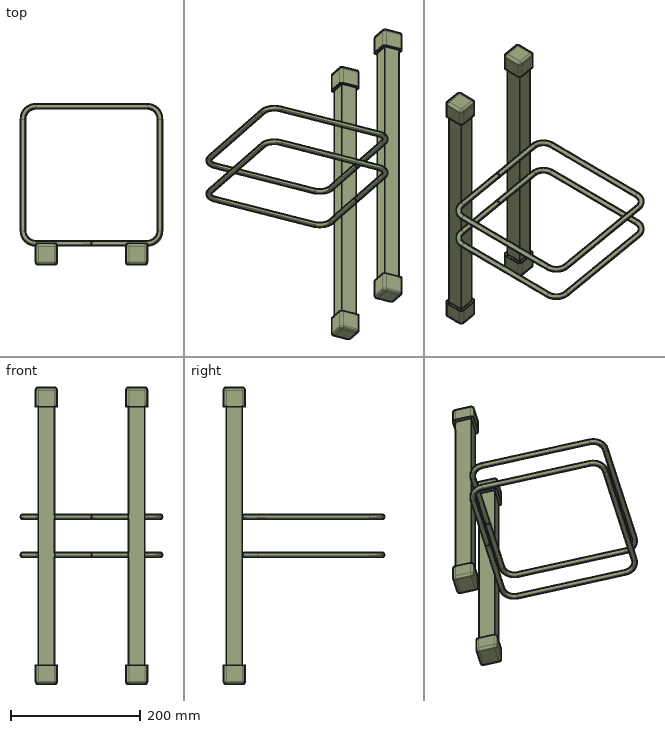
import cadquery as cq
import math


total_height = 460.0
ring_width = 220.0

rod_diameter = 8.0
rod_radius = rod_diameter / 2
ring_bend_radius = 20.0
joint_gap = 0.5
ring_pitch = 59.0
ring_half = (ring_width - rod_diameter) / 2
ring_levels = (-ring_pitch / 2, ring_pitch / 2)

post_side = 25.5
post_pitch = 140.0
post_positions = (-post_pitch / 2, post_pitch / 2)
post_y = -(ring_width + post_side) / 2

cap_wall = 4.0
cap_side = post_side + 2 * cap_wall
cap_height = 30.0
cap_edge_radius = 4.5
post_length = total_height - 2 * cap_wall

def make_post(x):
    """Plain square bar, centred on mid-height."""
    return cq.Workplane("XY").box(post_side, post_side, post_length).translate((x, post_y, 0))

def make_top_cap(x):
    """Rounded cup with a square socket that takes the upper end of a post."""
    cap_bottom = total_height / 2 - cap_height
    body = (
        cq.Workplane("XY")
        .box(cap_side, cap_side, cap_height, centered=(True, True, False))
        .edges("|Z or >Z")
        .fillet(cap_edge_radius)
    )
    socket = cq.Workplane("XY").box(
        post_side, post_side, cap_height - cap_wall, centered=(True, True, False)
    )
    return body.cut(socket).translate((x, post_y, cap_bottom))

def make_bottom_cap(x):
    """Mirror image of the top cap."""
    return make_top_cap(x).mirror("XY")

def make_ring(z):
    """Rod bent into a rounded square, with a narrow gap between its ends at the middle of the front side."""
    straight = ring_half - ring_bend_radius
    bend_middle = straight + ring_bend_radius * math.sqrt(0.5)
    path = (
        cq.Workplane("XY", origin=(0, 0, z))
        .moveTo(joint_gap / 2, -ring_half)
        .lineTo(straight, -ring_half)
        .threePointArc((bend_middle, -bend_middle), (ring_half, -straight))
        .lineTo(ring_half, straight)
        .threePointArc((bend_middle, bend_middle), (straight, ring_half))
        .lineTo(-straight, ring_half)
        .threePointArc((-bend_middle, bend_middle), (-ring_half, straight))
        .lineTo(-ring_half, -straight)
        .threePointArc((-bend_middle, -bend_middle), (-straight, -ring_half))
        .lineTo(-joint_gap / 2, -ring_half)
    )
    section = cq.Workplane("YZ", origin=(joint_gap / 2, -ring_half, z)).circle(rod_radius)
    return section.sweep(path)

rings = [make_ring(z) for z in ring_levels]
posts = [make_post(x) for x in post_positions]
top_caps = [make_top_cap(x) for x in post_positions]
bottom_caps = [make_bottom_cap(x) for x in post_positions]

bodies = rings + posts + top_caps + bottom_caps
result = cq.Compound.makeCompound([body.val() for body in bodies])